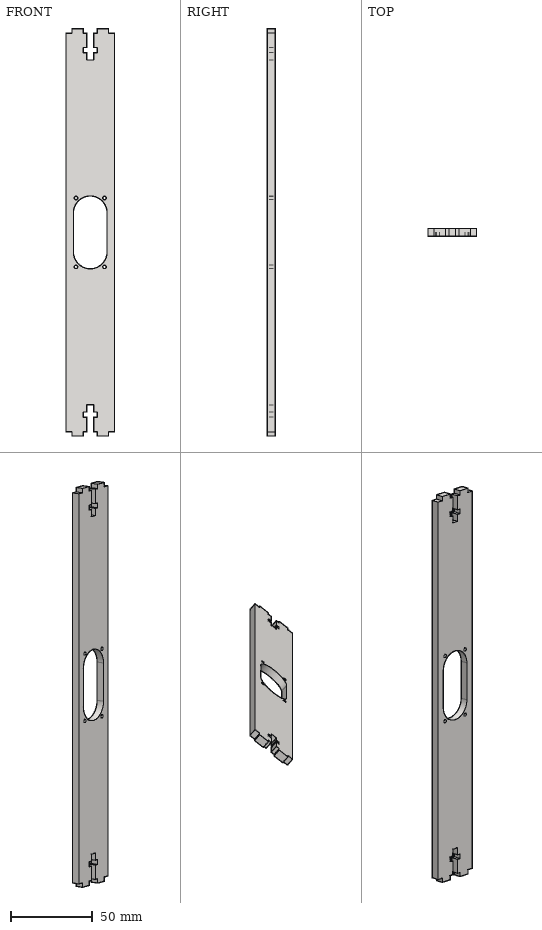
import cadquery as cq

length = 250.0
width = 30.0
thickness = 5.0

tab_height = 2.8
tab_inner = 4.2
tab_outer = 11.2

slot_width = 4.0
slot_depth = 19.2
nut_width = 8.5
nut_height = 3.0
nut_depth = 13.2

opening_width = 20.5
opening_length = 44.5
hole_diameter = 2.0
hole_spacing_x = 17.5
hole_spacing_z = 42.2


def block(size_x, size_z, x, z):
    """Block through the full thickness, centred at (x, z)."""
    return cq.Workplane("XY").box(size_x, thickness, size_z).translate((x, 0, z))


def add_tabs(plate, end):
    """Add the two tabs at the top (end = 1) or bottom (end = -1)."""
    tab_x = (tab_inner + tab_outer) / 2
    tab_z = end * (length - tab_height) / 2
    for side in (-1, 1):
        plate = plate.union(block(tab_outer - tab_inner, tab_height, side * tab_x, tab_z))
    return plate


def cut_t_slot(plate, end):
    """Cut the bolt slot and nut pocket at the top or bottom."""
    slot = block(slot_width, slot_depth, 0, end * (length - slot_depth) / 2)
    nut = block(nut_width, nut_height, 0, end * (length / 2 - nut_depth))
    return plate.cut(slot).cut(nut)


def cut_opening(plate):
    """Cut the central opening and the screw holes around it."""
    opening = (
        cq.Workplane("XZ")
        .slot2D(opening_length, opening_width, 90)
        .extrude(thickness / 2, both=True)
    )
    holes = (
        cq.Workplane("XZ")
        .rect(hole_spacing_x, hole_spacing_z, forConstruction=True)
        .vertices()
        .circle(hole_diameter / 2)
        .extrude(thickness / 2, both=True)
    )
    return plate.cut(opening).cut(holes)


plate = block(width, length - 2 * tab_height, 0, 0)
for end in (-1, 1):
    plate = add_tabs(plate, end)
    plate = cut_t_slot(plate, end)
result = cut_opening(plate)